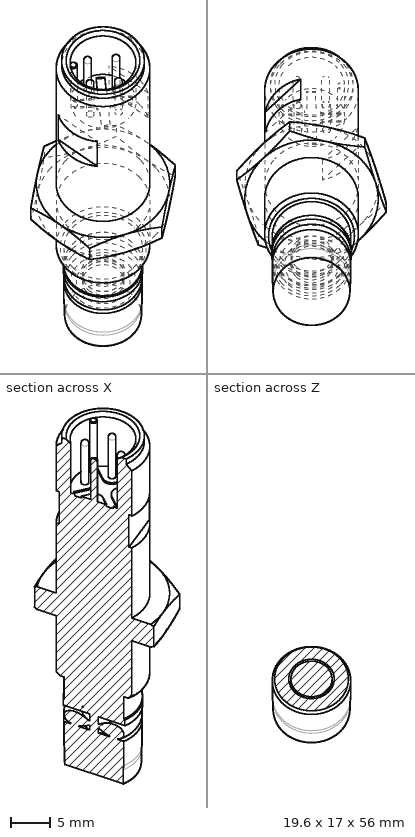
import cadquery as cq
import math

total_height = 56.0
plug_taper_bottom = 2.5
plug_taper_top = 3.3
seal_groove_bottom = 7.4
collar_bottom = 10.1
collar_top = 11.25
body_bottom = 14.95
nut_bottom = 25.05
nut_height = 4.0
flat_bottom = 41.05
flat_height = 5.45
body_top = 54.25
rim_bottom = 55.1

body_dia = 12.0
rim_dia = 10.6
collar_dia = 10.2
neck_dia = 10.0
plug_end_dia = 9.85
seal_groove_dia = 5.3

body_chamfer = 0.5
collar_bevel_height = 0.15
plug_chamfer_height = 0.3
plug_chamfer_width = 0.03

ring_outer_dia = neck_dia
ring_section_dia = 2.4
ring_seat_depth = 0.05

nut_across_flats = 17.0
nut_chamfer_angle = 30.0

across_wrench_flats = neck_dia

socket_dia = 8.4
socket_depth = 8.95
socket_chamfer = 0.5
pin_dia = 1.0
pin_offset = 2.6
pin_top = 54.2
pin_count = 4
key_offset = 3.8
key_chamfer = 0.1
key_top = total_height - socket_chamfer
cross_arm_length = 3.75
cross_arm_width = 1.1
cross_depth = 0.3

socket_floor = total_height - socket_depth


def turned_shaft():
    """Revolve the half section of the stepped shaft, seal groove included."""
    stations = [
        (plug_end_dia / 2 - plug_chamfer_width, 0),
        (plug_end_dia / 2, plug_chamfer_height),
        (plug_end_dia / 2, plug_taper_bottom),
        (neck_dia / 2, plug_taper_top),
        (neck_dia / 2, seal_groove_bottom),
        (seal_groove_dia / 2, seal_groove_bottom),
        (seal_groove_dia / 2, collar_bottom),
        (collar_dia / 2, collar_bottom),
        (collar_dia / 2, collar_top - collar_bevel_height),
        (neck_dia / 2, collar_top),
        (neck_dia / 2, body_bottom),
        (body_dia / 2 - body_chamfer, body_bottom),
        (body_dia / 2, body_bottom + body_chamfer),
        (body_dia / 2, body_top),
        (rim_dia / 2, rim_bottom),
        (rim_dia / 2, total_height),
    ]
    section = [(0, 0)] + stations + [(0, total_height)]
    return cq.Workplane("XZ").polyline(section).close().revolve(360, (0, 0), (0, 1))


def sealing_ring():
    """Round ring squeezed onto the core and the lower side of the seal groove."""
    section_radius = ring_section_dia / 2
    center_radius = ring_outer_dia / 2 - section_radius
    center_height = seal_groove_bottom + section_radius - ring_seat_depth
    section_plane = cq.Plane(origin=(center_radius, 0, center_height), xDir=(-1, 0, 0), normal=(0, 1, 0))
    section = cq.Workplane(section_plane).circle(section_radius)
    return section.revolve(360, (center_radius, 0), (center_radius, 1))


def hexagonal_nut():
    """Hexagon with corners along X, beveled at both ends down to its inscribed circle."""
    corner_radius = nut_across_flats / math.sqrt(3)
    flat_radius = nut_across_flats / 2
    bevel_height = (corner_radius - flat_radius) * math.tan(math.radians(nut_chamfer_angle))
    hexagon = cq.Workplane("XY").polygon(6, 2 * corner_radius).extrude(nut_height)
    bevel_section = [
        (0, 0),
        (flat_radius, 0),
        (corner_radius, bevel_height),
        (corner_radius, nut_height - bevel_height),
        (flat_radius, nut_height),
        (0, nut_height),
    ]
    bevel_body = cq.Workplane("XZ").polyline(bevel_section).close().revolve(360, (0, 0), (0, 1))
    return hexagon.intersect(bevel_body).translate((0, 0, nut_bottom))


def wrench_flat_cuts():
    """Material removed on the -Y and +Y sides to leave two parallel flats."""
    depth = (body_dia - across_wrench_flats) / 2
    center_y = (across_wrench_flats + depth) / 2
    return (
        cq.Workplane("XY", origin=(0, 0, flat_bottom))
        .pushPoints([(0, -center_y), (0, center_y)])
        .rect(body_dia, depth)
        .extrude(flat_height)
    )


def socket_cut():
    """Blind bore in the upper end with a beveled mouth."""
    bore = cq.Workplane("XY", origin=(0, 0, socket_floor)).circle(socket_dia / 2).extrude(socket_depth)
    mouth = (
        cq.Workplane("XY", origin=(0, 0, total_height))
        .circle(socket_dia / 2 + socket_chamfer)
        .extrude(-socket_chamfer, taper=45)
    )
    return bore.union(mouth)


def cross_recess():
    """Shallow diagonal cross in the socket floor, its inner corners rounded about the pins."""
    corner_radius = pin_offset * math.sin(math.radians(45)) - cross_arm_width / 2
    floor_plane = cq.Workplane("XY", origin=(0, 0, socket_floor))
    arm = floor_plane.rect(2 * cross_arm_length, cross_arm_width).extrude(-cross_depth)
    cross = arm.union(arm.rotate((0, 0, 0), (0, 0, 1), 90))
    inner_corner_box = cq.selectors.BoxSelector(
        (-cross_arm_width, -cross_arm_width, 0),
        (cross_arm_width, cross_arm_width, total_height),
    )
    cross = cross.edges("|Z").edges(inner_corner_box).fillet(corner_radius)
    return cross.rotate((0, 0, 0), (0, 0, 1), 45)


def contact_pins():
    """Four pins with hemispherical tips standing on the socket floor."""
    pin_radius = pin_dia / 2
    tip_center = pin_top - pin_radius
    shank_length = tip_center - socket_floor
    shank = cq.Workplane("XY", origin=(0, 0, socket_floor)).circle(pin_radius).extrude(shank_length)
    pin = shank.union(cq.Workplane("XY", origin=(0, 0, tip_center)).sphere(pin_radius))
    pins = cq.Workplane("XY")
    for index in range(pin_count):
        placed_pin = pin.translate((pin_offset, 0, 0)).rotate((0, 0, 0), (0, 0, 1), index * 360 / pin_count)
        pins = pins.add(placed_pin)
    return pins.combine()


def coding_key():
    """Round key along the socket wall in the -X -Y corner."""
    reach = key_offset * math.cos(math.radians(45))
    key_bottom = socket_floor - cross_depth
    return (
        cq.Workplane("XY", origin=(-reach, -reach, key_bottom))
        .circle(pin_dia / 2)
        .extrude(key_top - key_bottom)
        .faces(">Z")
        .chamfer(key_chamfer)
    )


result = (
    turned_shaft()
    .union(sealing_ring())
    .cut(wrench_flat_cuts())
    .union(hexagonal_nut())
    .cut(socket_cut())
    .cut(cross_recess())
    .union(contact_pins())
    .union(coding_key())
)